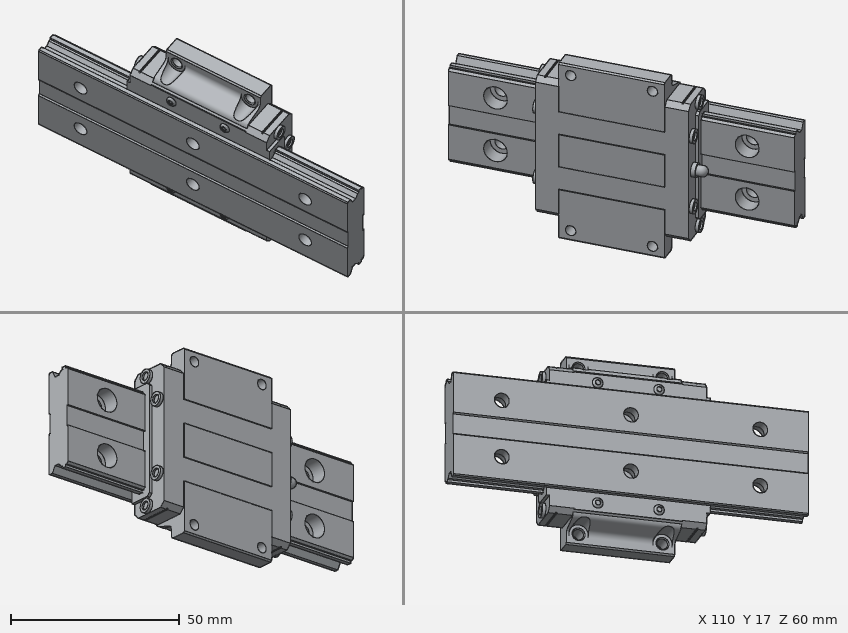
import cadquery as cq


rail_length = 110.0
rail_width = 33.0
rail_height = 9.0
rail_half_width = rail_width / 2
foot_chamfer = 0.35
foot_edge_height = 1.7
neck_half_width = 14.4
neck_bottom = 2.9
neck_top = 4.45
head_half_width = 15.7
head_bottom = 5.6
shoulder_drop = 0.2
head_chamfer = 0.7
lip_half_width = 16.4
lip_bottom = 6.2
lip_top = 7.7
relief_half_width = 3.5
relief_slope = 0.4
relief_depth = 0.5
top_relief_half_width = 3.3
top_relief_depth = 0.6
rail_hole_pitch = 40.0
rail_hole_row_spacing = 18.0
rail_hole_diameter = 4.5
counterbore_diameter = 7.5
counterbore_depth = 5.3

overall_height = 17.0
carriage_bottom = 2.9
block_length = 33.6
flange_width = 60.0
flange_thickness = 6.1
flange_chamfer = 0.5
flange_bottom = overall_height - flange_thickness
slope_root_half_width = 25.75
slope_foot_half_width = 23.7
block_bottom = 3.7
block_foot_half_width = 21.95
slope_root_radius = 2.0
slope_foot_radius = 2.0
back_groove_inner = 5.5
back_groove_outer = 13.3
back_groove_depth = 0.4

flange_hole_spacing_x = 26.0
flange_hole_spacing_z = 53.0
flange_hole_diameter = 3.3
flange_hole_mouth = 4.0
spotface_diameter = 6.0

cap_span = 48.7
cap_half_width = 23.35
cap_top = overall_height - back_groove_depth
cap_chamfer = 1.65
cap_groove_inner = 21.65
cap_groove_width = 0.4
cap_groove_depth = 0.3
carriage_length = 50.8
seal_half_width = 18.4
seal_top = 11.0
seal_chamfer = 0.95

screw_height = (carriage_length - cap_span) / 2
screw_diameter = 4.5
socket_diameter = 2.7
socket_depth = 0.6
screw_places = [(y, side * z) for y, z in [(13.9, 12.0), (9.0, 21.0)] for side in (-1, 1)]

button_spacing_x = 19.0
button_spacing_z = 38.4
button_diameter = 3.24
button_height = 0.65
button_round = 0.6
button_socket_diameter = 1.6
button_socket_depth = 0.4

nipple_y = 12.95
nipple_collar_diameter = 4.5
nipple_collar_length = 1.45
nipple_stem_diameter = 3.5
nipple_stem_length = 1.6


def mirrored_section(half_points):
    """Closed YZ outline from the points of its +Z half, listed from low to high Y."""
    other_half = [(y, -z) for y, z in reversed(half_points)]
    return cq.Workplane("YZ").polyline(half_points + other_half).close()


def rail_bar():
    """Rail section over the full length, without its holes."""
    half = [
        (relief_depth, 0),
        (relief_depth, relief_half_width - relief_slope),
        (0, relief_half_width),
        (0, rail_half_width - foot_chamfer),
        (foot_chamfer, rail_half_width),
        (foot_edge_height, rail_half_width),
        (neck_bottom, neck_half_width),
        (neck_top, neck_half_width),
        (head_bottom, head_half_width - shoulder_drop),
        (lip_bottom, head_half_width),
        (lip_bottom, lip_half_width),
        (lip_top, lip_half_width),
        (lip_top, head_half_width),
        (rail_height - head_chamfer, head_half_width),
        (rail_height, head_half_width - head_chamfer),
        (rail_height, top_relief_half_width),
        (rail_height - top_relief_depth, top_relief_half_width),
        (rail_height - top_relief_depth, 0),
    ]
    outline = half + [(y, -z) for y, z in half[-2:0:-1]]
    return cq.Workplane("YZ").polyline(outline).close().extrude(rail_length / 2, both=True)


def cylinder_y(x, z, y_start, diameter, length):
    """Cylinder along +Y that starts at y_start."""
    start = cq.Vector(x, y_start, z)
    return cq.Workplane(cq.Solid.makeCylinder(diameter / 2, length, start, cq.Vector(0, 1, 0)))


def make_rail():
    rail = rail_bar()
    for x in (-rail_hole_pitch, 0, rail_hole_pitch):
        for z in (-rail_hole_row_spacing / 2, rail_hole_row_spacing / 2):
            rail = rail.cut(cylinder_y(x, z, 0, rail_hole_diameter, rail_height))
            bore_start = rail_height - counterbore_depth
            rail = rail.cut(cylinder_y(x, z, bore_start, counterbore_diameter, counterbore_depth))
    return rail


def flanged_block():
    half = [
        (carriage_bottom, block_foot_half_width),
        (block_bottom, block_foot_half_width),
        (block_bottom, slope_foot_half_width),
        (flange_bottom, slope_root_half_width),
        (flange_bottom, flange_width / 2),
        (overall_height, flange_width / 2),
        (overall_height, back_groove_outer),
        (overall_height - back_groove_depth, back_groove_outer),
        (overall_height - back_groove_depth, back_groove_inner),
        (overall_height, back_groove_inner),
    ]
    block = mirrored_section(half).extrude(block_length / 2, both=True)
    slope_corners = [
        (block_bottom, slope_foot_half_width, slope_foot_radius),
        (flange_bottom, slope_root_half_width, slope_root_radius),
    ]
    for side in (-1, 1):
        for y, z, radius in slope_corners:
            corner = cq.selectors.NearestToPointSelector((0, y, side * z))
            block = block.edges(corner).fillet(radius)
    return block.faces("<Z or >Z").edges("|X").chamfer(flange_chamfer)


def flange_hole(x, z):
    """Cutter: spot face below the flange, countersunk mouth and through hole."""
    mouth_depth = (flange_hole_mouth - flange_hole_diameter) / 2
    spotface = cylinder_y(x, z, 0, spotface_diameter, flange_bottom)
    hole = cylinder_y(x, z, 0, flange_hole_diameter, overall_height)
    mouth = cq.Solid.makeCone(
        flange_hole_mouth / 2,
        flange_hole_diameter / 2,
        mouth_depth,
        cq.Vector(x, flange_bottom, z),
        cq.Vector(0, 1, 0),
    )
    return spotface.union(hole).union(cq.Workplane(mouth))


def end_cap_bar():
    """Both end caps as one bar that runs through the block."""
    half = [
        (carriage_bottom, cap_half_width - cap_chamfer),
        (carriage_bottom + cap_chamfer, cap_half_width),
        (cap_top - cap_chamfer, cap_half_width),
        (cap_top, cap_half_width - cap_chamfer),
    ]
    bar = mirrored_section(half).extrude(cap_span / 2, both=True)
    groove_x = cap_groove_inner + cap_groove_width / 2
    groove = cq.Workplane().box(cap_groove_width, 2 * cap_top, 2 * cap_groove_depth)
    for x in (-groove_x, groove_x):
        for z in (-cap_half_width, cap_half_width):
            bar = bar.cut(groove.translate((x, cap_top, z)))
    return bar


def seal_bar():
    """Both end seals as one bar that stands out beyond the end caps."""
    half = [
        (carriage_bottom, seal_half_width),
        (seal_top - seal_chamfer, seal_half_width),
        (seal_top, seal_half_width - seal_chamfer),
    ]
    return mirrored_section(half).extrude(carriage_length / 2, both=True)


def screw_head(end, y, z):
    """Socket screw head standing on the end cap at the end = -1 or 1 side."""
    head = cq.Workplane("YZ").center(y, z).circle(screw_diameter / 2).extrude(end * screw_height)
    socket = cq.Workplane("YZ").center(y, z).circle(socket_diameter / 2).extrude(end * socket_depth)
    head = head.cut(socket.translate((end * (screw_height - socket_depth), 0, 0)))
    return head.translate((end * cap_span / 2, 0, 0))


def button_head(x, z):
    """Rounded head with a socket, hanging below the carriage."""
    button_bottom = carriage_bottom - button_height
    button = cylinder_y(x, z, button_bottom, button_diameter, button_height)
    button = button.faces("<Y").edges().fillet(button_round)
    return button.cut(cylinder_y(x, z, button_bottom, button_socket_diameter, button_socket_depth))


def make_carriage():
    carriage = flanged_block()
    for x in (-flange_hole_spacing_x / 2, flange_hole_spacing_x / 2):
        for z in (-flange_hole_spacing_z / 2, flange_hole_spacing_z / 2):
            carriage = carriage.cut(flange_hole(x, z))
    carriage = carriage.union(end_cap_bar()).union(seal_bar())
    carriage = carriage.cut(rail_bar())
    for end in (-1, 1):
        for y, z in screw_places:
            carriage = carriage.union(screw_head(end, y, z))
    for x in (-button_spacing_x / 2, button_spacing_x / 2):
        for z in (-button_spacing_z / 2, button_spacing_z / 2):
            carriage = carriage.union(button_head(x, z))
    return carriage


def make_nipple():
    """Turned about X: collar, stem and hemispherical dome, pointing to -X from the end cap."""
    stem_end = nipple_collar_length + nipple_stem_length
    stem_radius = nipple_stem_diameter / 2
    dome_end = stem_end + stem_radius
    profile = (
        cq.Workplane("XY")
        .moveTo(0, 0)
        .lineTo(0, nipple_collar_diameter / 2)
        .lineTo(-nipple_collar_length, nipple_collar_diameter / 2)
        .lineTo(-nipple_collar_length, stem_radius)
        .lineTo(-stem_end, stem_radius)
        .tangentArcPoint((-dome_end, 0), relative=False)
        .close()
    )
    nipple = profile.revolve(360, (0, 0, 0), (1, 0, 0))
    return nipple.translate((-cap_span / 2, nipple_y, 0))


rail = make_rail()
nipple = make_nipple()
carriage = make_carriage().cut(nipple)

result = cq.Compound.makeCompound([rail.val(), carriage.val(), nipple.val()])